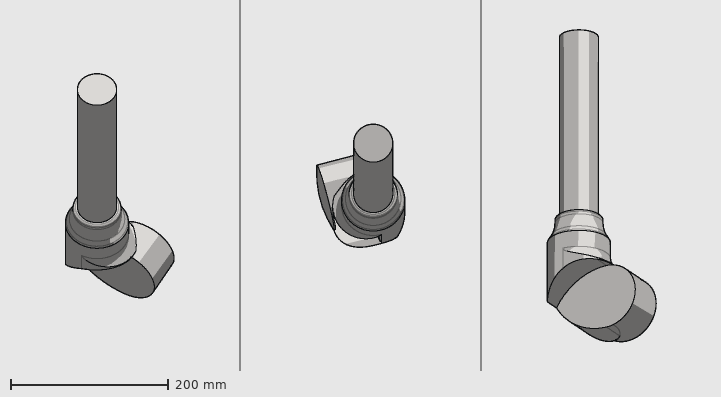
import cadquery as cq
import math

total_height = 411.0
tube_radius = 25.0
barrel_top = 125.8

shoulder_radius = 39.0
shoulder_height = 128.2
cone_radius = 35.5
cone_top = 134.5
neck_radius = 31.0
neck_bottom = 153.0
collar_top = 160.0
lip_fillet = 3.3

lower_radius = 45.5
lower_shift = 5.0

barrel_radius = math.sqrt(lower_radius**2 - lower_shift**2) - lower_shift

flare_top = 103.5
flare_arc_radius = 22.0
flare_outer_radius = 53.5

elbow_radius = 42.7
elbow_x = 40.5
elbow_z = elbow_radius
elbow_length = 52.0
dome_rise = 7.0

side_arc_radius = 2 * elbow_radius
tip_x = elbow_x - math.sqrt(side_arc_radius**2 - elbow_radius**2)

margin = 82.0


def make_tube():
    return cq.Workplane("XY").workplane(offset=collar_top).circle(tube_radius).extrude(
        total_height - collar_top
    )


def make_barrel_and_collar():
    """Turned body: barrel, sloped shoulder, concave neck and rounded lip."""
    neck_rise = neck_bottom - cone_top
    neck_step = cone_radius - neck_radius
    neck_arc_radius = (neck_rise**2 + neck_step**2) / (2 * neck_step)
    half_angle = math.asin(neck_rise / neck_arc_radius) / 2
    neck_mid = (
        neck_radius + neck_arc_radius * (1 - math.cos(half_angle)),
        neck_bottom - neck_arc_radius * math.sin(half_angle),
    )
    return (
        cq.Workplane("XZ")
        .moveTo(0, 0)
        .lineTo(barrel_radius, 0)
        .lineTo(barrel_radius, barrel_top)
        .lineTo(shoulder_radius, shoulder_height)
        .lineTo(cone_radius, cone_top)
        .threePointArc(neck_mid, (neck_radius, neck_bottom))
        .lineTo(neck_radius, collar_top - lip_fillet)
        .radiusArc((neck_radius - lip_fillet, collar_top), -lip_fillet)
        .lineTo(0, collar_top)
        .close()
        .revolve(360, (0, 0, 0), (0, 1, 0))
    )


def make_lower_barrel():
    """Shifted cylinder whose top is shaped by a flare turned about the Z axis."""
    end_angle = math.acos(1 - (flare_outer_radius - barrel_radius) / flare_arc_radius)

    def flare_point(angle):
        radius = barrel_radius + flare_arc_radius * (1 - math.cos(angle))
        return (radius, flare_top - flare_arc_radius * math.sin(angle))

    flare = (
        cq.Workplane("XZ")
        .moveTo(0, 0)
        .lineTo(flare_outer_radius, 0)
        .lineTo(*flare_point(end_angle))
        .threePointArc(flare_point(end_angle / 2), (barrel_radius, flare_top))
        .lineTo(0, flare_top)
        .close()
        .revolve(360, (0, 0, 0), (0, 1, 0))
    )
    cylinder = (
        cq.Workplane("XY").center(lower_shift, lower_shift).circle(lower_radius).extrude(flare_top)
    )
    return flare.intersect(cylinder)


def make_elbow():
    elbow = (
        cq.Workplane("XZ").center(elbow_x, elbow_z).circle(elbow_radius).extrude(-elbow_length)
    )
    dome_radius = (elbow_radius**2 + dome_rise**2) / (2 * dome_rise)
    dome_end = elbow_length + dome_rise
    ball = cq.Workplane("XY").sphere(dome_radius).translate(
        (elbow_x, dome_end - dome_radius, elbow_z)
    )
    cap = (
        cq.Workplane("XZ", origin=(elbow_x, elbow_length, elbow_z))
        .circle(elbow_radius)
        .extrude(-dome_rise)
        .intersect(ball)
    )
    return elbow.union(cap)


def side_arc_point(x, direction):
    """Point of a side arc: direction +1 for the upper arc, -1 for the lower."""
    drop = math.sqrt(side_arc_radius**2 - (x - elbow_x) ** 2)
    return (x, elbow_z + direction * (drop - elbow_radius))


def make_underside_cut():
    """Everything below the lower side arc and the elbow's round lower right."""
    arc_start_x = elbow_x - side_arc_radius
    right_x = elbow_x + elbow_radius
    arc_mid = side_arc_point((tip_x + elbow_x) / 2, -1)
    round_offset = elbow_radius / math.sqrt(2)
    return (
        cq.Workplane("XZ", origin=(0, -margin, 0))
        .moveTo(arc_start_x, -margin)
        .lineTo(*side_arc_point(arc_start_x, -1))
        .threePointArc(arc_mid, (elbow_x, 0))
        .threePointArc((elbow_x + round_offset, elbow_z - round_offset), (right_x, elbow_z))
        .lineTo(right_x, -margin)
        .close()
        .extrude(-2 * margin)
    )


def make_front_cut():
    """Pointed elbow outline, clearing the barrel in front of the plane Y = 0."""
    middle_x = (tip_x + elbow_x) / 2
    return (
        cq.Workplane("XZ")
        .moveTo(tip_x, elbow_z)
        .threePointArc(side_arc_point(middle_x, 1), (elbow_x, elbow_z + elbow_radius))
        .threePointArc((elbow_x + elbow_radius, elbow_z), (elbow_x, 0))
        .threePointArc(side_arc_point(middle_x, -1), (tip_x, elbow_z))
        .close()
        .extrude(margin)
    )


barrels = make_barrel_and_collar().union(make_lower_barrel())
barrels = barrels.cut(make_underside_cut()).cut(make_front_cut())
result = barrels.union(make_elbow()).union(make_tube())